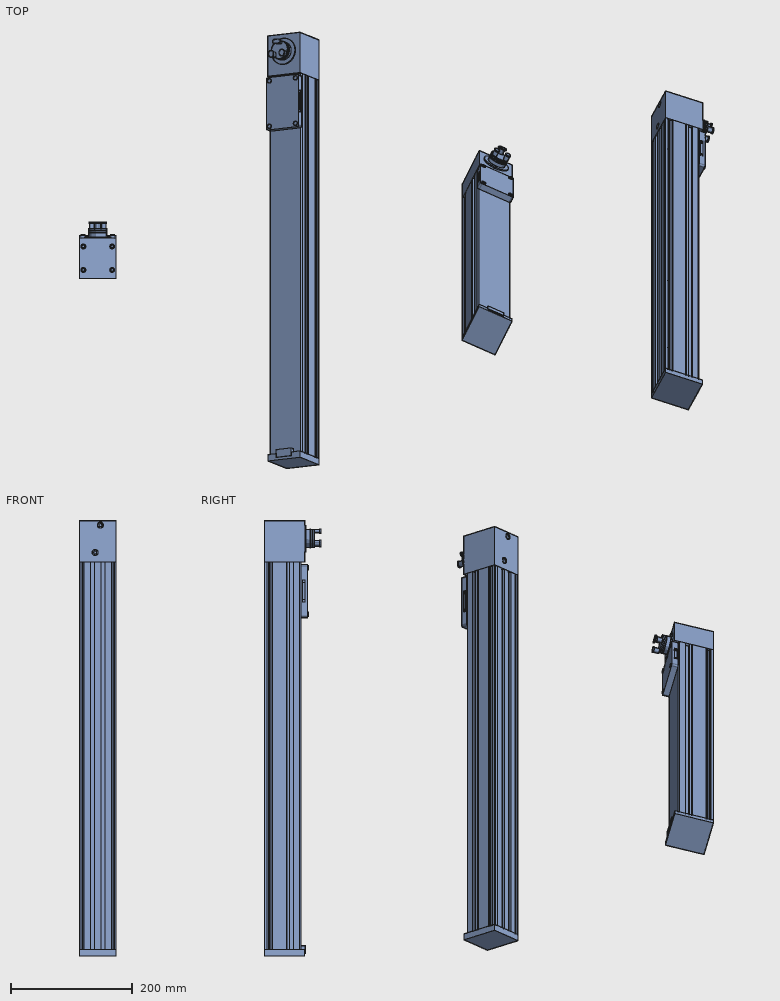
import cadquery as cq

LENGTH = 716.0
WIDTH = 60.0
HALF_WIDTH = WIDTH / 2

CAP_HEIGHT = 11.0
CAP_DEPTH = 66.0
CAP_LUG_TOP = 17.0
CAP_LUG_WIDTH = 28.5
CAP_LUG_BOTTOM = 4.0
CAP_LUG_BACK = 67.0

HEAD_BOTTOM = 648.0
HEAD_DEPTH = 66.5
TOP_SCREW_X = 23.5
TOP_SCREW_ROWS = (14.0, 53.0)
TOP_SCREW_BORE = 8.0
TOP_SCREW_BORE_DEPTH = 4.0
TOP_SCREW_HOLE = 4.5
TOP_SCREW_HOLE_DEPTH = 8.5
PORT_CENTRES = ((-4.0, 664.0), (4.0, 709.0))
PORT_STEPS = ((10.0, 2.0), (9.0, 11.0), (5.0, 18.0))

PROFILE_DEPTH = 60.0
BACK_CHAMFER = 2.0
SLOT_WIDTH = 6.5
SLOT_DEPTH = 4.0
FRONT_SLOT_X = 8.5
SIDE_SLOT_Y = 44.5
SIDE_GROOVE_Y = 36.5
SIDE_GROOVE_WIDTH = 1.0
SIDE_GROOVE_DEPTH = 1.5
FRONT_VEE_X = 25.0
FRONT_VEE_WIDTH = 4.0
FRONT_VEE_DEPTH = 2.0
SIDE_RECESS_Y = 8.5
SIDE_RECESS_WIDTH = 8.5
SIDE_RECESS_DEPTH = 2.0
SIDE_VEE_WIDTH = 4.0
SIDE_VEE_DEPTH = 1.5

CARRIAGE_BOTTOM = 556.0
CARRIAGE_TOP = 644.5
CARRIAGE_BACK = 71.0
CARRIAGE_CORNER = 3.0
BOSS_DIAMETER = 7.0
BOSS_HEIGHT = 1.5
BOSS_INSET = 6.0
POCKET_LENGTH = 36.5
POCKET_FRONT = 62.0
POCKET_BACK = 66.5
POCKET_DEPTH = 1.0
POCKET_END_LENGTH = 4.0
POCKET_END_DEPTH = 2.0

CONNECTOR_Z = 687.0
CONNECTOR_FLANGE = 44.0
CONNECTOR_FLANGE_BACK = 69.0
CONNECTOR_BARREL = 30.0
CONNECTOR_BARREL_BACK = 82.0
COLLAR_DIAMETER = 31.0
COLLAR_FRONT = 75.0
COLLAR_BACK = 76.0
GROOVE_DIAMETER = 29.0
GROOVE_FRONT = 78.0
GROOVE_BACK = 80.0
CONNECTOR_BACK = 93.0
PIN_HEAD_THICKNESS = 2.0
UPPER_PIN_Z = 699.0
UPPER_PIN_HEAD = (14.0, 7.0)
UPPER_PIN_NECK = (10.0, 6.0)
LOWER_PIN_X = 10.0
LOWER_PIN_Z = 679.0
LOWER_PIN_HEAD = (8.5, 11.5)
LOWER_PIN_NECK = (8.0, 10.0)


def block(x_range, y_range, z_range):
    """Box between two limits on each axis."""
    (x0, x1), (y0, y1), (z0, z1) = x_range, y_range, z_range
    return cq.Workplane("XY").box(x1 - x0, y1 - y0, z1 - z0, centered=False).translate((x0, y0, z0))


def rod(diameter, x, z, y_start, y_end):
    """Cylinder along Y between two Y positions."""
    base = cq.Workplane("XZ", origin=(x, y_start, z))
    return base.circle(diameter / 2).extrude(y_start - y_end)


def make_end_cap():
    cap = block((-HALF_WIDTH, HALF_WIDTH), (0, CAP_DEPTH), (0, CAP_HEIGHT))
    half_lug = CAP_LUG_WIDTH / 2
    lug = block((-half_lug, half_lug), (PROFILE_DEPTH, CAP_LUG_BACK), (CAP_LUG_BOTTOM, CAP_LUG_TOP))
    return cap.union(lug)


def make_profile():
    recess_floor = HALF_WIDTH - SIDE_RECESS_DEPTH
    recess_half = SIDE_RECESS_WIDTH / 2
    points = [
        (0, 0),
        (FRONT_VEE_X - FRONT_VEE_WIDTH / 2, 0),
        (FRONT_VEE_X, FRONT_VEE_DEPTH),
        (FRONT_VEE_X + FRONT_VEE_WIDTH / 2, 0),
        (HALF_WIDTH, 0),
        (HALF_WIDTH, SIDE_RECESS_Y - recess_half),
        (recess_floor, SIDE_RECESS_Y - recess_half),
        (recess_floor, SIDE_RECESS_Y - SIDE_VEE_WIDTH / 2),
        (recess_floor - SIDE_VEE_DEPTH, SIDE_RECESS_Y),
        (recess_floor, SIDE_RECESS_Y + SIDE_VEE_WIDTH / 2),
        (recess_floor, SIDE_RECESS_Y + recess_half),
        (HALF_WIDTH, SIDE_RECESS_Y + recess_half),
        (HALF_WIDTH, PROFILE_DEPTH - BACK_CHAMFER),
        (HALF_WIDTH - BACK_CHAMFER, PROFILE_DEPTH),
        (0, PROFILE_DEPTH),
    ]
    z_range = (CAP_HEIGHT, HEAD_BOTTOM)
    half = cq.Workplane("XY", origin=(0, 0, CAP_HEIGHT)).polyline(points).close()
    half = half.extrude(HEAD_BOTTOM - CAP_HEIGHT)

    half_slot = SLOT_WIDTH / 2
    half = half.cut(block((FRONT_SLOT_X - half_slot, FRONT_SLOT_X + half_slot), (0, SLOT_DEPTH), z_range))
    for y, width, depth in (
        (SIDE_SLOT_Y, SLOT_WIDTH, SLOT_DEPTH),
        (SIDE_GROOVE_Y, SIDE_GROOVE_WIDTH, SIDE_GROOVE_DEPTH),
    ):
        half = half.cut(block((HALF_WIDTH - depth, HALF_WIDTH), (y - width / 2, y + width / 2), z_range))
    return half.union(half.mirror("YZ"))


def make_head():
    head = block((-HALF_WIDTH, HALF_WIDTH), (0, HEAD_DEPTH), (HEAD_BOTTOM, LENGTH))
    screw_points = [(side * TOP_SCREW_X, y) for side in (-1, 1) for y in TOP_SCREW_ROWS]
    for diameter, depth in (
        (TOP_SCREW_BORE, TOP_SCREW_BORE_DEPTH),
        (TOP_SCREW_HOLE, TOP_SCREW_HOLE_DEPTH),
    ):
        top = cq.Workplane("XY", origin=(0, 0, LENGTH))
        head = head.cut(top.pushPoints(screw_points).circle(diameter / 2).extrude(-depth))
    for x, z in PORT_CENTRES:
        for diameter, depth in PORT_STEPS:
            head = head.cut(rod(diameter, x, z, 0, depth))
    return head


def make_carriage():
    z_range = (CARRIAGE_BOTTOM, CARRIAGE_TOP)
    carriage = block((-HALF_WIDTH, HALF_WIDTH), (PROFILE_DEPTH, CARRIAGE_BACK), z_range)
    carriage = carriage.edges("|Y").fillet(CARRIAGE_CORNER)

    for x in (-HALF_WIDTH + BOSS_INSET, HALF_WIDTH - BOSS_INSET):
        for z in (CARRIAGE_BOTTOM + BOSS_INSET, CARRIAGE_TOP - BOSS_INSET):
            carriage = carriage.union(rod(BOSS_DIAMETER, x, z, CARRIAGE_BACK, CARRIAGE_BACK + BOSS_HEIGHT))

    middle = (CARRIAGE_BOTTOM + CARRIAGE_TOP) / 2
    low = middle - POCKET_LENGTH / 2
    high = middle + POCKET_LENGTH / 2
    for depth, z0, z1 in (
        (POCKET_DEPTH, low, high),
        (POCKET_END_DEPTH, low, low + POCKET_END_LENGTH),
        (POCKET_END_DEPTH, high - POCKET_END_LENGTH, high),
    ):
        pocket = block((HALF_WIDTH - depth, HALF_WIDTH), (POCKET_FRONT, POCKET_BACK), (z0, z1))
        carriage = carriage.cut(pocket).cut(pocket.mirror("YZ"))
    return carriage


def oblong(size, x, z, y_start, y_end):
    """Round-ended bar along Y; its size gives the X and Z extents."""
    size_x, size_z = size
    angle = 0 if size_x > size_z else 90
    base = cq.Workplane("XZ", origin=(x, y_start, z))
    return base.slot2D(max(size), min(size), angle).extrude(y_start - y_end)


def make_pin(head_size, neck_size, x, z):
    """Pin standing on the barrel: a narrower neck under a wider head."""
    head_front = CONNECTOR_BACK - PIN_HEAD_THICKNESS
    neck = oblong(neck_size, x, z, CONNECTOR_BARREL_BACK, head_front)
    return neck.union(oblong(head_size, x, z, head_front, CONNECTOR_BACK))


def make_connector():
    connector = rod(CONNECTOR_FLANGE, 0, CONNECTOR_Z, HEAD_DEPTH, CONNECTOR_FLANGE_BACK)
    for diameter, y0, y1 in (
        (CONNECTOR_BARREL, CONNECTOR_FLANGE_BACK, COLLAR_FRONT),
        (COLLAR_DIAMETER, COLLAR_FRONT, COLLAR_BACK),
        (CONNECTOR_BARREL, COLLAR_BACK, GROOVE_FRONT),
        (GROOVE_DIAMETER, GROOVE_FRONT, GROOVE_BACK),
        (CONNECTOR_BARREL, GROOVE_BACK, CONNECTOR_BARREL_BACK),
    ):
        connector = connector.union(rod(diameter, 0, CONNECTOR_Z, y0, y1))

    connector = connector.union(make_pin(UPPER_PIN_HEAD, UPPER_PIN_NECK, 0, UPPER_PIN_Z))
    for x in (-LOWER_PIN_X, LOWER_PIN_X):
        connector = connector.union(make_pin(LOWER_PIN_HEAD, LOWER_PIN_NECK, x, LOWER_PIN_Z))
    return connector


end_cap = make_end_cap()
profile = make_profile()
head = make_head()
carriage = make_carriage()
connector = make_connector()

result = cq.Compound.makeCompound(
    [end_cap.val(), profile.val(), head.val(), carriage.val(), connector.val()]
)